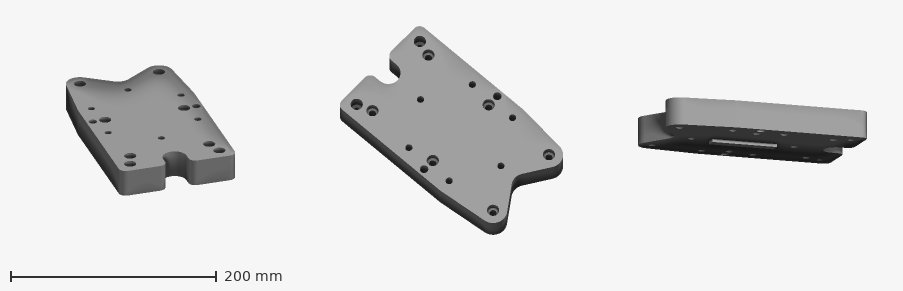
import cadquery as cq
import math


plate_thickness = 27.0
half_width = 59.3
right_end_x = 108.7
flank_corner_x = -27.2
flank_blend_radius = 13.7
corner_radius = 7.0

mount_x = 79.2
mount_y = 40.3
lobe_radius = 13.7
notch_radius = 13.7
notch_bottom_x = -71.5

slot_radius = 11.9
slot_centre_x = 95.2

counterbore_diameter = 11.9
mount_hole_diameter = 7.0
mount_counterbore_depth = 7.0
corner_hole_x = slot_centre_x
corner_hole_y = 45.5
corner_hole_diameter = 5.5
corner_counterbore_depth = plate_thickness / 2

pitch_radius = 52.8
ring_hole_count = 6
ring_hole_diameter = 7.0
dowel_hole_diameter = 8.3

key_length = 66.5
key_width = 10.5
key_height = 3.0


def polar(centre, radius, angle):
    """Point at the given radius and angle (radians) from a centre."""
    return (centre[0] + radius * math.cos(angle), centre[1] + radius * math.sin(angle))


def mirrored(point):
    """Point reflected in the X axis."""
    return (point[0], -point[1])


def make_plate_blank():
    """Plate with its full outline, before any holes."""
    lobe = (-mount_x, mount_y)
    notch = (notch_bottom_x - notch_radius, 0)
    flank_corner = (flank_corner_x, half_width)

    dx, dy = flank_corner[0] - lobe[0], flank_corner[1] - lobe[1]
    flank_angle = math.atan2(dy, dx) + math.acos(lobe_radius / math.hypot(dx, dy))
    flank_end = polar(lobe, lobe_radius, flank_angle)

    turn_angle = flank_angle - math.pi / 2
    blend_x = flank_corner_x + flank_blend_radius * math.tan(turn_angle / 2)
    blend = (blend_x, half_width - flank_blend_radius)
    blend_middle = polar(blend, flank_blend_radius, math.pi / 2 + turn_angle / 2)
    blend_end = polar(blend, flank_blend_radius, flank_angle)

    dx, dy = notch[0] - lobe[0], notch[1] - lobe[1]
    tangent_cosine = (lobe_radius + notch_radius) / math.hypot(dx, dy)
    notch_side_angle = math.atan2(dy, dx) - math.acos(tangent_cosine) + 2 * math.pi
    notch_side_start = polar(lobe, lobe_radius, notch_side_angle)
    notch_side_end = polar(notch, -notch_radius, notch_side_angle)
    lobe_middle = polar(lobe, lobe_radius, (flank_angle + notch_side_angle) / 2)

    blank = (
        cq.Workplane("XY")
        .moveTo(right_end_x, half_width)
        .lineTo(blend_x, half_width)
        .threePointArc(blend_middle, blend_end)
        .lineTo(*flank_end)
        .threePointArc(lobe_middle, notch_side_start)
        .lineTo(*notch_side_end)
        .threePointArc((notch_bottom_x, 0), mirrored(notch_side_end))
        .lineTo(*mirrored(notch_side_start))
        .threePointArc(mirrored(lobe_middle), mirrored(flank_end))
        .lineTo(*mirrored(blend_end))
        .threePointArc(mirrored(blend_middle), (blend_x, -half_width))
        .lineTo(right_end_x, -half_width)
        .lineTo(right_end_x, -slot_radius)
        .lineTo(slot_centre_x, -slot_radius)
        .threePointArc((slot_centre_x - slot_radius, 0), (slot_centre_x, slot_radius))
        .lineTo(right_end_x, slot_radius)
        .close()
        .extrude(plate_thickness)
    )
    return blank.edges("|Z and >X").fillet(corner_radius)


def make_plate():
    """Plate with its counterbored, ring and dowel holes."""
    mounts = [(x, y) for x in (-mount_x, 0, mount_x) for y in (-mount_y, mount_y)]
    corners = [(corner_hole_x, y) for y in (-corner_hole_y, corner_hole_y)]
    ring = [polar((0, 0), pitch_radius, 2 * math.pi * i / ring_hole_count) for i in range(ring_hole_count)]
    dowels = [(0, -pitch_radius), (0, pitch_radius)]

    top = make_plate_blank().faces(">Z").workplane(origin=(0, 0, plate_thickness))
    plate = top.pushPoints(mounts).cboreHole(
        mount_hole_diameter, counterbore_diameter, mount_counterbore_depth
    )
    top = plate.faces(">Z").workplane(origin=(0, 0, plate_thickness))
    plate = top.pushPoints(corners).cboreHole(
        corner_hole_diameter, counterbore_diameter, corner_counterbore_depth
    )
    for points, diameter in ((ring, ring_hole_diameter), (dowels, dowel_hole_diameter)):
        top = plate.faces(">Z").workplane(origin=(0, 0, plate_thickness))
        plate = top.pushPoints(points).hole(diameter)
    return plate


def make_key():
    """Rectangular key lying against the underside of the plate."""
    return cq.Workplane("XY").rect(key_length, key_width).extrude(-key_height)


plate = make_plate()
key = make_key()

result = cq.Compound.makeCompound([plate.val(), key.val()])